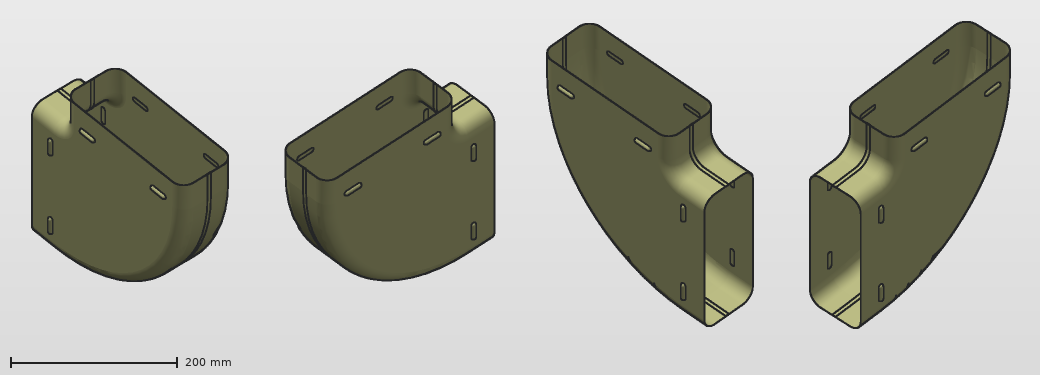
import cadquery as cq
import math

depth = 83.0
width = 216.0
corner_radius = 18.0
wall = 0.6

socket_length = 40.0
inner_bend_radius = 20.0
middle_bend_radius = inner_bend_radius + width / 2
outer_bend_radius = inner_bend_radius + width
overall = socket_length + outer_bend_radius
bend_centre_x = socket_length
bend_centre_z = outer_bend_radius

rib_y_low = -0.5
rib_y_high = 5.0
rib_height = 0.5

bar_radius = 3.5
bar_length = 27.0
bar_from_opening = 35.0
bar_edge_offset = 29.5


def bend_midpoint(radius):
    """Middle point of a bend arc of the given radius."""
    reach = radius * math.sqrt(0.5)
    return bend_centre_x + reach, bend_centre_z - reach


def elbow_slab(inset, y_low, y_high):
    """Elbow-shaped slab between two Y levels, its narrow sides moved inward by inset."""
    inner_radius = inner_bend_radius + inset
    outer_radius = outer_bend_radius - inset
    outline = (
        cq.Workplane("XZ", origin=(0, y_low, 0))
        .moveTo(0, bend_centre_z - inner_radius)
        .lineTo(bend_centre_x, bend_centre_z - inner_radius)
        .threePointArc(bend_midpoint(inner_radius), (bend_centre_x + inner_radius, bend_centre_z))
        .lineTo(bend_centre_x + inner_radius, overall)
        .lineTo(bend_centre_x + outer_radius, overall)
        .lineTo(bend_centre_x + outer_radius, bend_centre_z)
        .threePointArc(bend_midpoint(outer_radius), (bend_centre_x, bend_centre_z - outer_radius))
        .lineTo(0, bend_centre_z - outer_radius)
        .close()
    )
    return outline.extrude(y_low - y_high)


def duct_body(inset):
    """Solid elbow: the section, reduced by inset all round, swept along the duct's centreline."""
    centreline = (
        cq.Workplane("XZ")
        .moveTo(0, width / 2)
        .lineTo(bend_centre_x, width / 2)
        .threePointArc(
            bend_midpoint(middle_bend_radius),
            (bend_centre_x + middle_bend_radius, bend_centre_z),
        )
        .lineTo(bend_centre_x + middle_bend_radius, overall)
    )
    return (
        cq.Workplane("YZ", origin=(0, 0, width / 2))
        .sketch()
        .rect(depth - 2 * inset, width - 2 * inset)
        .vertices()
        .fillet(corner_radius - inset)
        .finalize()
        .sweep(centreline)
    )


def seam_ribs():
    """Low ribs on both narrow walls, rooted at mid-wall so that they fuse with the duct."""
    root = elbow_slab(wall / 2, rib_y_low, rib_y_high)
    opening = elbow_slab(wall + rib_height, rib_y_low, rib_y_high)
    return root.cut(opening)


def snap_bar():
    """Round bar along X with spherical ends, centred on the origin."""
    straight = bar_length - 2 * bar_radius
    bar = cq.Workplane("YZ").circle(bar_radius).extrude(straight / 2, both=True)
    for end in (-straight / 2, straight / 2):
        bar = bar.union(cq.Workplane("XY").sphere(bar_radius).translate((end, 0, 0)))
    return bar


def snap_bars():
    """Two bars near each opening on both broad faces."""
    level_bar = snap_bar()
    upright_bar = level_bar.rotate((0, 0, 0), (0, 1, 0), 90)
    centre_offset = bar_edge_offset + bar_length / 2
    bars = cq.Workplane("XY")
    for y in (-depth / 2, depth / 2):
        for from_outer_wall in (centre_offset, width - centre_offset):
            bars = bars.add(
                level_bar.translate((overall - from_outer_wall, y, overall - bar_from_opening))
            )
            bars = bars.add(upright_bar.translate((bar_from_opening, y, from_outer_wall)))
    return bars.combine()


outer_body = duct_body(0)
duct = outer_body.cut(duct_body(wall))
raised_bars = snap_bars().cut(outer_body)
result = duct.union(seam_ribs()).union(raised_bars)